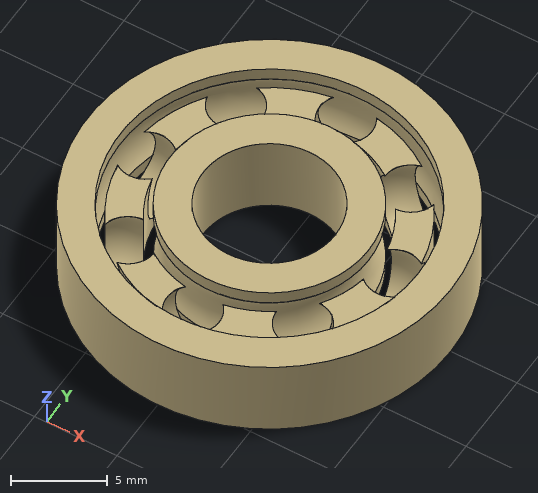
import cadquery as cq
import math

bore_diameter = 8.0
inner_ring_diameter = 12.0
cage_inner_diameter = 13.0
cage_outer_diameter = 17.0
outer_ring_bore = 18.0
outer_diameter = 22.0

width = 5.0
cage_bottom = 0.0
cage_top = 4.1

ball_diameter = 4.5
ball_count = 8
ball_height = width / 2
pitch_radius = (inner_ring_diameter + outer_ring_bore) / 4


def annulus(outer, inner, bottom, top):
    """Plain ring between two diameters and two heights."""
    section = cq.Workplane("XY", origin=(0, 0, bottom)).circle(outer / 2).circle(inner / 2)
    return section.extrude(top - bottom)


def raceway():
    """Torus swept by a ball as it rolls around the bearing axis."""
    return cq.Workplane(cq.Solid.makeTorus(pitch_radius, ball_diameter / 2, cq.Vector(0, 0, ball_height)))


def ball_space(index):
    """Sphere at one of the evenly spaced ball positions."""
    angle = math.radians(index * 360 / ball_count)
    center = (pitch_radius * math.cos(angle), pitch_radius * math.sin(angle), ball_height)
    return cq.Workplane("XY", origin=center).sphere(ball_diameter / 2)


def make_inner_ring():
    return annulus(inner_ring_diameter, bore_diameter, 0, width).cut(raceway())


def make_outer_ring():
    return annulus(outer_diameter, outer_ring_bore, 0, width).cut(raceway())


def make_cage():
    """Crown cage whose spherical pockets open upward through narrowed mouths."""
    cage = annulus(cage_outer_diameter, cage_inner_diameter, cage_bottom, cage_top)
    for index in range(ball_count):
        cage = cage.cut(ball_space(index))
    return cage


inner_ring = make_inner_ring()
outer_ring = make_outer_ring()
cage = make_cage()

result = cq.Compound.makeCompound([inner_ring.val(), outer_ring.val(), cage.val()])